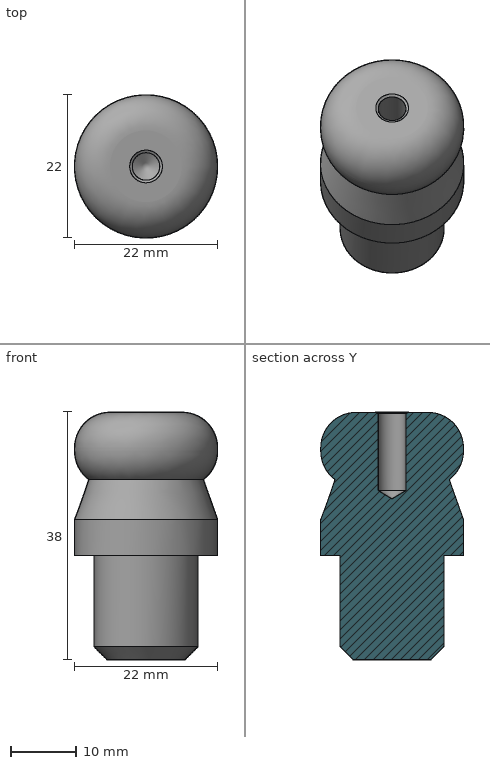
import cadquery as cq
import math

total_height = 38.0
body_diameter = 22.0
body_radius = body_diameter / 2

shank_radius = 16.0 / 2
shank_length = 16.0
shank_chamfer = 2.0

collar_height = 5.5
neck_radius = 8.8
collar_top = shank_length + collar_height

head_round = body_radius / 2
band_height = 0.45
band_top = total_height - head_round
band_bottom = band_top - band_height
arc_center_radius = body_radius - head_round
neck_height = band_bottom - math.sqrt(head_round**2 - (neck_radius - arc_center_radius) ** 2)

hole_radius = 4.2 / 2
hole_mouth_radius = 5.0 / 2
hole_depth = 12.0
countersink_angle = 120.0
drill_tip_angle = 118.0
drill_tip_height = hole_radius / math.tan(math.radians(drill_tip_angle / 2))


def head_arc_point(center_height, angle):
    """Point on a head arc, at an angle in degrees above the horizontal."""
    return (
        arc_center_radius + head_round * math.cos(math.radians(angle)),
        center_height + head_round * math.sin(math.radians(angle)),
    )


def make_body():
    """Revolve the outer half profile about Z."""
    quarter_arc_middle = 45
    neck_angle = math.degrees(math.atan2(neck_height - band_bottom, neck_radius - arc_center_radius))
    return (
        cq.Workplane("XZ")
        .moveTo(0, 0)
        .lineTo(shank_radius - shank_chamfer, 0)
        .lineTo(shank_radius, shank_chamfer)
        .lineTo(shank_radius, shank_length)
        .lineTo(body_radius, shank_length)
        .lineTo(body_radius, collar_top)
        .lineTo(neck_radius, neck_height)
        .threePointArc(head_arc_point(band_bottom, neck_angle / 2), (body_radius, band_bottom))
        .lineTo(body_radius, band_top)
        .threePointArc(head_arc_point(band_top, quarter_arc_middle), (arc_center_radius, total_height))
        .lineTo(0, total_height)
        .close()
        .revolve(360, (0, 0, 0), (0, 1, 0))
    )


def make_hole():
    """Revolve the drilled hole with its countersunk mouth and conical tip."""
    countersink_depth = (hole_mouth_radius - hole_radius) / math.tan(math.radians(countersink_angle / 2))
    hole_floor = total_height - hole_depth
    return (
        cq.Workplane("XZ")
        .moveTo(0, total_height)
        .lineTo(hole_mouth_radius, total_height)
        .lineTo(hole_radius, total_height - countersink_depth)
        .lineTo(hole_radius, hole_floor)
        .lineTo(0, hole_floor - drill_tip_height)
        .close()
        .revolve(360, (0, 0, 0), (0, 1, 0))
    )


result = make_body().cut(make_hole())